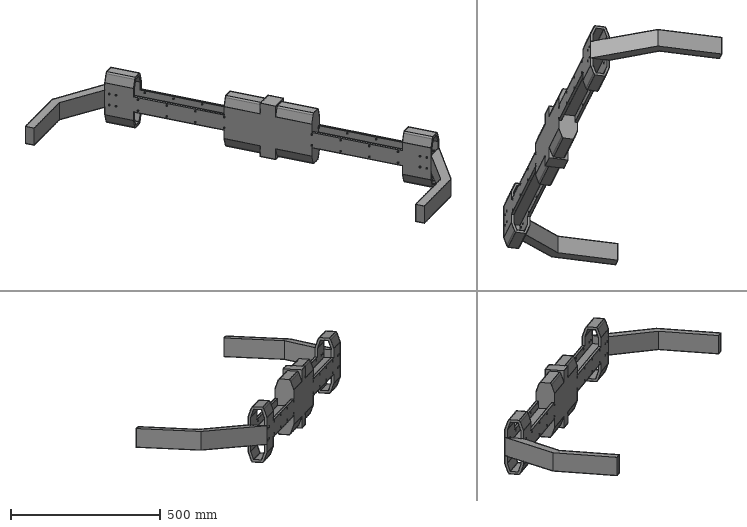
import cadquery as cq

span = 1465.0
depth = 420.0
band_height = 200.0

wall = 9.1
inner_gap = 47.0
body_depth = inner_gap + 2 * wall
half_depth = body_depth / 2
half_height = 95.0
flat_half_height = 60.0
shoulder_half_height = 90.0
shoulder_half_depth = 22.0
top_half_depth = 18.0

body_half_length = 599.0
end_block_length = 105.0
center_half_length = 161.0
band_width = 57.0

beam_height = 57.0
web_thickness = 9.0

arm_height = 65.0
arm_width = 32.0
outer_bend_y = -199.0
inner_bend_y = -212.0

hole_diameter = 5.3
hole_half_spacing = 20.0
beam_hole_pitch = 105.0
beam_hole_count = 4
end_hole_positions = [558.0, 583.0]


def box(x_min, x_max, y_min, y_max, height):
    """Block centred on z = 0."""
    length = x_max - x_min
    thickness = y_max - y_min
    return cq.Workplane("XY").box(length, thickness, height).translate(
        ((x_min + x_max) / 2, (y_min + y_max) / 2, 0)
    )


def body_prism(x_min, x_max, inset=0.0):
    """Faceted body section extruded along X, optionally shrunk by an inset."""
    quarter = [
        (half_depth, flat_half_height),
        (shoulder_half_depth, shoulder_half_height),
        (top_half_depth, half_height),
    ]
    upper = quarter + [(-y, z) for y, z in reversed(quarter)]
    outline = upper + [(-y, -z) for y, z in upper]
    section = cq.Workplane("YZ").polyline(outline).close()
    if inset:
        section = section.offset2D(-inset)
    return section.extrude(x_max - x_min).translate((x_min, -half_depth, 0))


def end_block():
    """Open-ended shell at the +X end of the body."""
    x_min = body_half_length - end_block_length
    shell = body_prism(x_min, body_half_length)
    return shell.cut(body_prism(x_min, body_half_length, wall))


def beam():
    """Front and back plates joined by a level web."""
    ends = (-body_half_length, body_half_length)
    front_plate = box(*ends, -body_depth, wall - body_depth, beam_height)
    back_plate = box(*ends, -wall, 0, beam_height)
    web = box(*ends, -body_depth, 0, web_thickness)
    return front_plate.union(back_plate).union(web)


def arm():
    """Bent arm at the +X end, sloping outward and then running forward."""
    tip_x = span / 2
    inner_x = tip_x - arm_width
    outline = [
        (body_half_length, 0),
        (tip_x, outer_bend_y),
        (tip_x, -depth),
        (inner_x, -depth),
        (inner_x, inner_bend_y),
        (body_half_length, -body_depth),
    ]
    return cq.Workplane("XY").polyline(outline).close().extrude(arm_height / 2, both=True)


def screw_holes():
    """Cutters one wall deep from the front face and from the back face."""
    beam_positions = [center_half_length + i * beam_hole_pitch for i in range(beam_hole_count)]
    points = [
        (side * x, level * hole_half_spacing)
        for x in beam_positions + end_hole_positions
        for side in (-1, 1)
        for level in (-1, 1)
    ]
    back = cq.Workplane("XZ").pushPoints(points).circle(hole_diameter / 2).extrude(wall)
    front = back.translate((0, wall - body_depth, 0))
    return back.union(front)


center_block = body_prism(-center_half_length, center_half_length)
center_band = box(-band_width / 2, band_width / 2, -body_depth, 0, band_height)

result = beam().union(center_block).union(center_band)
for end_part in (end_block(), arm()):
    result = result.union(end_part).union(end_part.mirror("YZ"))
result = result.cut(screw_holes())